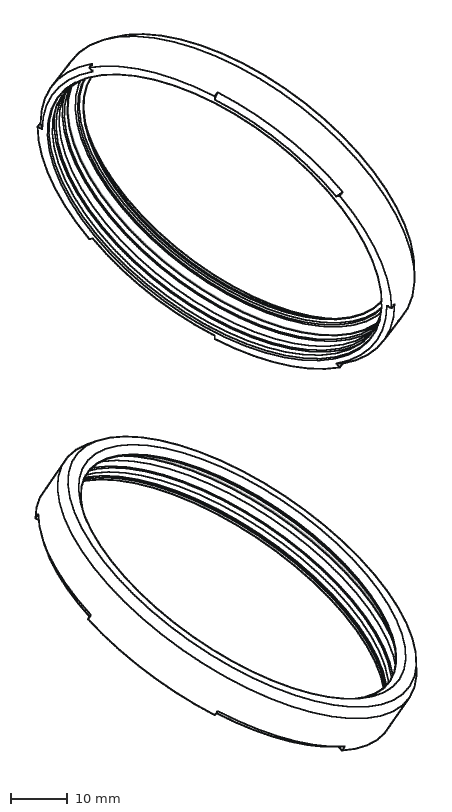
import cadquery as cq

full_turn = 360.0

outer_radius = 37.0
depth = 9.4

bevel_length = 1.75
bevel_height = 1.1

mouth_radius = 34.93
mouth_depth = 0.5

land_radius = 34.5
groove_radius = mouth_radius
first_land = mouth_depth + mouth_radius - land_radius
lands = [(2.2, 3.2), (4.95, 6.05)]

relief_radius = 34.6
cove_start = 6.35
cove_end = 7.45
cove_end_radius = 33.8
cove_rise = relief_radius - cove_end_radius
cove_length = cove_end - cove_start
cove_arc_radius = (cove_rise**2 + cove_length**2) / (2 * cove_rise)

step_radius = 33.3
step_end = 7.97
lip_radius = 32.5
lip_end = 8.2
rear_radius = lip_radius + depth - lip_end

notch_count = 4
notch_sweep = 45.0
notch_size = 1.0


def ring_body():
    """Half section in the ZY plane (radius, y), turned about Y."""
    section = (
        cq.Workplane("ZY")
        .moveTo(mouth_radius, 0)
        .lineTo(outer_radius, 0)
        .lineTo(outer_radius, depth - bevel_length)
        .lineTo(outer_radius - bevel_height, depth)
        .lineTo(rear_radius, depth)
        .lineTo(lip_radius, lip_end)
        .lineTo(lip_radius, step_end)
        .lineTo(step_radius, step_end)
        .lineTo(step_radius, cove_end)
        .lineTo(cove_end_radius, cove_end)
        .radiusArc((relief_radius, cove_start), cove_arc_radius)
        .lineTo(relief_radius, lands[-1][1])
    )
    for index in reversed(range(len(lands))):
        land_start, land_end = lands[index]
        previous_end = lands[index - 1][1] if index else first_land
        section = (
            section.lineTo(land_radius, land_end)
            .lineTo(land_radius, land_start)
            .lineTo(groove_radius, land_start)
            .lineTo(groove_radius, previous_end)
        )
    section = section.lineTo(land_radius, first_land).lineTo(mouth_radius, mouth_depth).close()
    return section.revolve(full_turn, (0, 0, 0), (0, 1, 0))


def rim_notch(start_angle):
    """Bevel cutter over one stretch of the front outer edge, starting start_angle about Y from +Z."""
    section = (
        cq.Workplane("ZY")
        .moveTo(outer_radius - notch_size, 0)
        .lineTo(outer_radius, 0)
        .lineTo(outer_radius, notch_size)
        .close()
    )
    cutter = section.revolve(notch_sweep, (0, 0, 0), (0, 1, 0))
    return cutter.rotate((0, 0, 0), (0, 1, 0), start_angle)


result = ring_body()
for index in range(notch_count):
    result = result.cut(rim_notch(index * full_turn / notch_count))